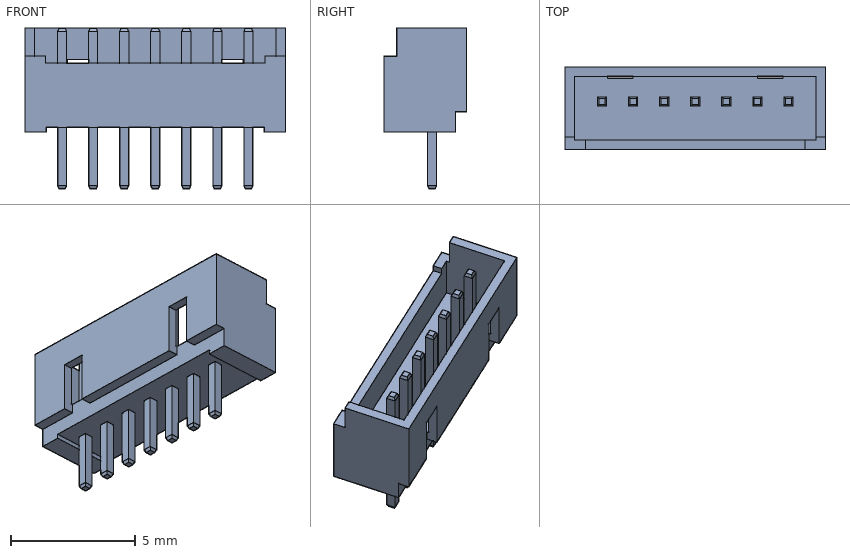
import cadquery as cq

PIN_COUNT = 7
PIN_PITCH = 1.25
PIN_WIDTH = 0.37
PIN_TAIL = 2.28
PIN_TOP_GAP = 0.02
TIP_INSET = 0.06
TIP_LENGTH = 0.13

LENGTH = 10.5
DEPTH = 3.33
HEIGHT = 4.2
WALL = 0.38
FLOOR_Z = 1.22
BACK_Y = 1.39
FRONT_Y = BACK_Y - DEPTH

STEP_DEPTH = 0.51
STEP_DROP = 1.14

DIP_LENGTH = 8.83
DIP_DROP = 1.42

FOOT_RELIEF_LENGTH = 8.77
FOOT_HEIGHT = 0.19
BACK_NOTCH_DEPTH = 0.445
BACK_NOTCH_HEIGHT = 0.82

WINDOW_WIDTH = 1.01
WINDOW_X = 3.02
WINDOW_TOP_DROP = 1.28


def block(x_size, y_range, z_range, x_center=0):
    """Box centred on x_center, spanning the given Y and Z ranges."""
    y_min, y_max = y_range
    z_min, z_max = z_range
    return (
        cq.Workplane("XY")
        .box(x_size, y_max - y_min, z_max - z_min, centered=(True, False, False))
        .translate((x_center, y_min, z_min))
    )


def open_box():
    """Housing block with the mating cavity open at the top."""
    body = block(LENGTH, (FRONT_Y, BACK_Y), (0, HEIGHT))
    cavity = block(LENGTH - 2 * WALL, (FRONT_Y + WALL, BACK_Y - WALL), (FLOOR_Z, HEIGHT))
    return body.cut(cavity)


def cut_front(body):
    """Step down the front edge and lower the middle of the front wall."""
    step = block(LENGTH, (FRONT_Y, FRONT_Y + STEP_DEPTH), (HEIGHT - STEP_DROP, HEIGHT))
    dip = block(DIP_LENGTH, (FRONT_Y, FRONT_Y + WALL), (HEIGHT - DIP_DROP, HEIGHT))
    return body.cut(step).cut(dip)


def cut_underside(body):
    """Raise the underside between the end feet and notch the lower back edge."""
    foot_relief = block(FOOT_RELIEF_LENGTH, (FRONT_Y, BACK_Y), (0, FOOT_HEIGHT))
    back_notch = block(LENGTH, (BACK_Y - BACK_NOTCH_DEPTH, BACK_Y), (0, BACK_NOTCH_HEIGHT))
    return body.cut(foot_relief).cut(back_notch)


def cut_windows(body):
    """Open two windows in the back wall, running down into the back notch."""
    for x_center in (-WINDOW_X, WINDOW_X):
        window = block(
            WINDOW_WIDTH,
            (BACK_Y - BACK_NOTCH_DEPTH, BACK_Y),
            (BACK_NOTCH_HEIGHT, HEIGHT - WINDOW_TOP_DROP),
            x_center,
        )
        body = body.cut(window)
    return body


def pin_tip(base_z, direction):
    """Tapered pin end starting at base_z; direction is +1 for up, -1 for down."""
    end_width = PIN_WIDTH - 2 * TIP_INSET
    return (
        cq.Workplane("XY", origin=(0, 0, base_z))
        .rect(PIN_WIDTH, PIN_WIDTH)
        .workplane(offset=direction * TIP_LENGTH)
        .rect(end_width, end_width)
        .loft()
    )


def make_pin():
    """Square pin on the Z axis, tapered at both ends."""
    shaft_bottom = TIP_LENGTH - PIN_TAIL
    shaft_top = HEIGHT - PIN_TOP_GAP - TIP_LENGTH
    shaft = block(PIN_WIDTH, (-PIN_WIDTH / 2, PIN_WIDTH / 2), (shaft_bottom, shaft_top))
    return shaft.union(pin_tip(shaft_top, 1)).union(pin_tip(shaft_bottom, -1))


def add_pins(body):
    """Fuse the evenly spaced pin row into the housing floor."""
    pin = make_pin()
    first_x = -PIN_PITCH * (PIN_COUNT - 1) / 2
    for index in range(PIN_COUNT):
        body = body.union(pin.translate((first_x + index * PIN_PITCH, 0, 0)))
    return body


housing = cut_windows(cut_underside(cut_front(open_box())))
result = add_pins(housing)